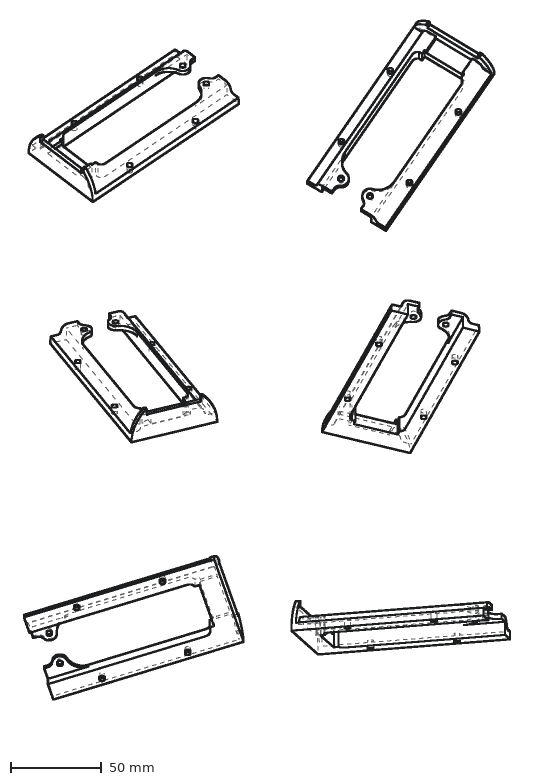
import cadquery as cq
import math

length = 110.2
width = 51.7
height = 19.0
outer_radius = width / 2

flange_height = 4.5
bead_top = 10.4
bead_radius = 4.4
bead_x = 15.0
blend_radius = 2.2
wall_x = 16.1

plate_thickness = 2.5
notch_floor = 15.9
notch_half_width = 16.4

bar_end_y = 12.6
bar_top = 7.4
left_pad_width = 12.9
right_pad_width = 10.8
tab_setback = 1.0
tab_end_y = 15.2
corner_radius = 3.7
corner_y = 18.6

ear_thickness = 2.9
ear_x = 9.5
ear_y = 100.9
lobe_radius = 4.3
ear_blend_y = 108.0
ear_root_y = 86.7

hole_diameter = 3.2
rail_hole_x = 22.3
rail_hole_ys = (31.2, 80.7)


def toward(start, end, distance):
    """Point at a given distance from start along the line to end."""
    ratio = distance / math.dist(start, end)
    return tuple(a + (b - a) * ratio for a, b in zip(start, end))


def arc_middle(center, start, end):
    """Middle of the short arc about center that joins start and end."""
    chord_middle = tuple((a + b) / 2 for a, b in zip(start, end))
    return toward(center, chord_middle, math.dist(center, start))


def arc(profile, center, start, end):
    """Add the short arc about center, from the current point start to end."""
    return profile.threePointArc(arc_middle(center, start, end), end)


def on_outer_skin(z):
    """Point of the round outer skin at height z."""
    return (math.sqrt(outer_radius**2 - z**2), z)


def along_y(profile, y_start, y_end):
    """Extrude a closed XZ profile from y_start to y_end."""
    return profile.extrude(y_start - y_end).translate((0, y_start, 0))


def block(x_range, y_range, z_range):
    """Axis-aligned block between pairs of limits."""
    ranges = (x_range, y_range, z_range)
    size = [end - start for start, end in ranges]
    corner = tuple(start for start, end in ranges)
    return cq.Workplane("XY").box(*size, centered=False).translate(corner)


def both_sides(half):
    """Join a right-hand body with its mirror image."""
    return half.union(half.mirror("YZ"))


def make_body():
    """Full-width bar: flat top, rounded bead, concave blend and flange on each side."""
    bead_center = (bead_x, bead_top - bead_radius)
    blend_z = flange_height + blend_radius
    blend_reach = math.sqrt((bead_radius + blend_radius) ** 2 - (blend_z - bead_center[1]) ** 2)
    blend_center = (bead_x + blend_reach, blend_z)
    blend_bottom = (blend_center[0], flange_height)
    blend_top = toward(bead_center, blend_center, bead_radius)
    crest = (bead_x, bead_top)
    skin_bottom = on_outer_skin(0)
    skin_top = on_outer_skin(flange_height)

    profile = cq.Workplane("XZ").lineTo(*skin_bottom)
    profile = arc(profile, (0, 0), skin_bottom, skin_top).lineTo(*blend_bottom)
    profile = arc(profile, blend_center, blend_bottom, blend_top)
    profile = arc(profile, bead_center, blend_top, crest).lineTo(0, bead_top).close()
    return both_sides(along_y(profile, 0, length))


def make_plate():
    """End plate with the round outer skin and a notch whose floor follows the bead shape."""
    skin_bottom = on_outer_skin(0)
    skin_top = on_outer_skin(height)
    floor_center = (bead_x, notch_floor - bead_radius)
    floor_edge = (bead_x, notch_floor)
    floor_drop = bead_radius - math.sqrt(bead_radius**2 - (notch_half_width - bead_x) ** 2)
    floor_end = (notch_half_width, notch_floor - floor_drop)

    profile = cq.Workplane("XZ").lineTo(*skin_bottom)
    profile = arc(profile, (0, 0), skin_bottom, skin_top)
    profile = profile.lineTo(notch_half_width, height).lineTo(*floor_end)
    profile = arc(profile, floor_center, floor_end, floor_edge).lineTo(0, notch_floor).close()
    return both_sides(along_y(profile, 0, plate_thickness))


def make_half_opening(tab_x):
    """Right half of the opening, bounded by the bar, tab, rail wall and screw ear."""
    corner_center = (wall_x - corner_radius, corner_y)
    corner_reach = math.sqrt(corner_radius**2 - (corner_y - tab_end_y) ** 2)
    corner_start = (corner_center[0] + corner_reach, tab_end_y)
    corner_end = (wall_x, corner_y)

    lobe_center = (ear_x, ear_y)
    wall_gap = wall_x - ear_x
    root_rise = ear_y - ear_root_y
    root_radius = (wall_gap**2 + root_rise**2 - lobe_radius**2) / (2 * (wall_gap + lobe_radius))
    root_center = (wall_x - root_radius, ear_root_y)
    root_start = (wall_x, ear_root_y)
    lobe_start = toward(lobe_center, root_center, lobe_radius)

    tip_radius = ((ear_blend_y - ear_y) ** 2 - lobe_radius**2) / (2 * lobe_radius)
    tip_center = (ear_x - tip_radius, ear_blend_y)
    tip_end = (ear_x, ear_blend_y)
    lobe_end = toward(lobe_center, tip_center, lobe_radius)

    plan = cq.Workplane("XY").moveTo(0, bar_end_y).lineTo(tab_x, bar_end_y)
    plan = plan.lineTo(tab_x, tab_end_y).lineTo(*corner_start)
    plan = arc(plan, corner_center, corner_start, corner_end).lineTo(*root_start)
    plan = arc(plan, root_center, root_start, lobe_start)
    plan = arc(plan, lobe_center, lobe_start, lobe_end)
    plan = arc(plan, tip_center, lobe_end, tip_end)
    plan = plan.lineTo(ear_x, length).lineTo(0, length).close()
    return plan.extrude(bead_top)


def make_holes():
    """Vertical through holes in the ears and the rail flanges."""
    places = [(ear_x, ear_y)] + [(rail_hole_x, y) for y in rail_hole_ys]
    mirrored = [(-x, y) for x, y in places]
    return cq.Workplane("XY").pushPoints(places + mirrored).circle(hole_diameter / 2).extrude(height)


right_opening = make_half_opening(right_pad_width + tab_setback)
left_opening = make_half_opening(left_pad_width + tab_setback).mirror("YZ")
below_ears = block((-wall_x, wall_x), (ear_root_y, length), (0, bead_top - ear_thickness))
above_bar = block((-left_pad_width, right_pad_width), (plate_thickness, bar_end_y), (bar_top, bead_top))

result = make_body().cut(right_opening).cut(left_opening)
result = result.cut(below_ears).cut(above_bar)
result = result.union(make_plate()).cut(make_holes())